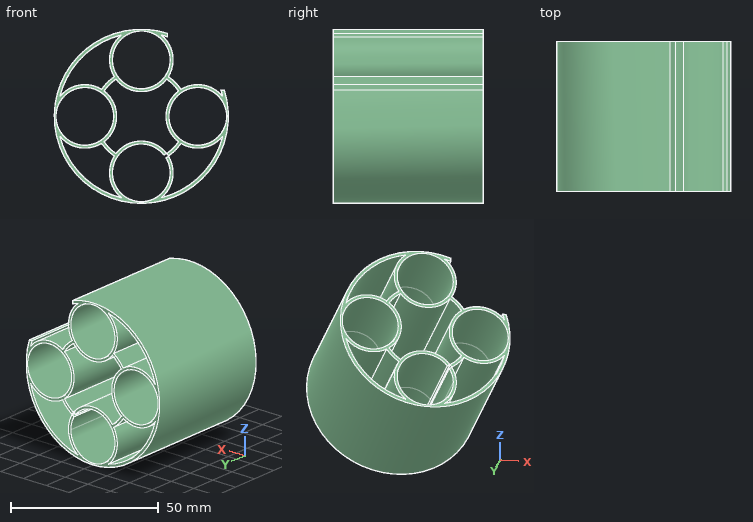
import cadquery as cq

outer_diameter = 58.9
length = 50.8
shell_wall = 1.2
inner_wall = 1.05
tube_bore = 19.45
tube_offset = 19.1
inner_ring_diameter = 32.5
window_edge = 8.9
slit_clearance = 0.05

tube_diameter = tube_bore + 2 * inner_wall
bottom_tube = (0, -tube_offset)
tube_centers = [(tube_offset, 0), (0, tube_offset), (-tube_offset, 0), bottom_tube]


def cylinder(diameter, centers=((0, 0),)):
    """Full-length cylinders along Y at the given (X, Z) centers."""
    return (
        cq.Workplane("XZ")
        .pushPoints(centers)
        .circle(diameter / 2)
        .extrude(length / 2, both=True)
    )


def ring(diameter, wall, center=(0, 0)):
    """Full-length ring with the given outside diameter and wall."""
    return cylinder(diameter, [center]).cut(cylinder(diameter - 2 * wall, [center]))


def corner_block(x, z):
    """Full-length block reaching from (x, z) towards +X and +Z."""
    block = cq.Workplane("XY").box(
        outer_diameter, length, outer_diameter, centered=(False, True, False)
    )
    return block.translate((x, 0, z))


def make_shell():
    """Outer shell, open in the +X +Z quadrant."""
    return ring(outer_diameter, shell_wall).cut(corner_block(window_edge, window_edge))


def make_tubes():
    """Four tube bodies, trimmed flush with the outside of the shell."""
    return cylinder(tube_diameter, tube_centers).intersect(cylinder(outer_diameter))


def make_slit():
    """Slit where the inner ring would cross the bottom tube's wall on the +X side."""
    ring_band = ring(inner_ring_diameter + 2 * slit_clearance, inner_wall + 2 * slit_clearance)
    tube_band = ring(
        tube_diameter + 2 * slit_clearance, inner_wall + 2 * slit_clearance, bottom_tube
    )
    return ring_band.intersect(tube_band).intersect(corner_block(0, -tube_offset))


result = (
    make_shell()
    .union(make_tubes())
    .union(ring(inner_ring_diameter, inner_wall))
    .cut(cylinder(tube_bore, tube_centers))
    .cut(make_slit())
)